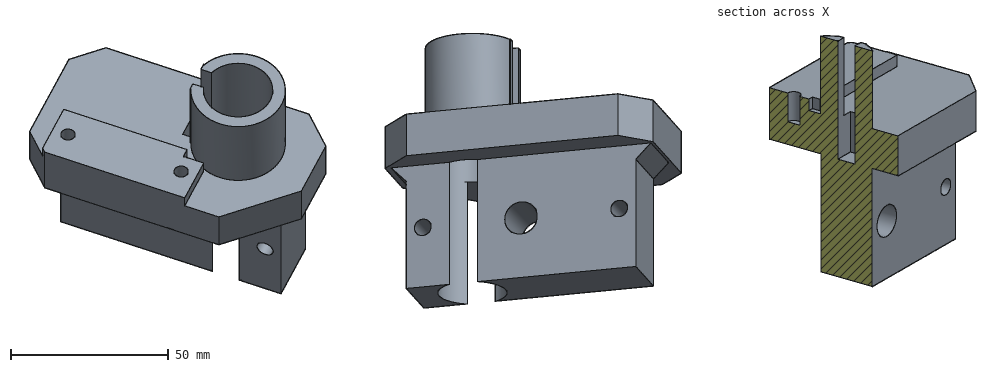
import cadquery as cq

plate_length = 89.0
plate_width = 50.0
plate_thickness = 14.0
left_corner_cut = 9.0
back_right_corner_cut = 10.0
front_right_corner_cut = 20.0

tongue_height = 41.0
tongue_start_x = 6.0
tongue_length = 76.0
tongue_thickness = 20.0
haunch_size = 5.0

cross_hole_z = 20.0
pin_hole_diameter = 5.5
pin_hole_spacing = 65.0
center_hole_diameter = 10.75

boss_x = 63.0
boss_y = 30.0
boss_height = 27.0
boss_diameter = 30.0
bore_diameter = 22.0

keyway_width = 6.5
keyway_reach = 17.75
lip_width = 11.0
lip_reach = 14.25

pad_start_x = 7.75
pad_length = 49.5
pad_width = 18.5
pad_height = 4.0
pad_notch_length = 7.0
pad_notch_width = 3.0
pad_hole_diameter = 4.5
pad_hole_spacing = 39.0
pad_hole_depth = 10.0
pad_hole_y = 9.5

plate_top = tongue_height + plate_thickness
pad_top = plate_top + pad_height
boss_top = plate_top + boss_height
tongue_end_x = tongue_start_x + tongue_length
tongue_center_x = tongue_start_x + tongue_length / 2
tongue_back_y = boss_y + tongue_thickness / 2


def block(x_min, x_max, y_min, y_max, z_min, z_max):
    """Axis-aligned box between two opposite corners."""
    size = (x_max - x_min, y_max - y_min, z_max - z_min)
    return cq.Workplane("XY").box(*size, centered=False).translate((x_min, y_min, z_min))


def vertical_cylinder(x, y, diameter, z_min, z_max):
    return cq.Workplane("XY", origin=(x, y, z_min)).circle(diameter / 2).extrude(z_max - z_min)


def plate_prism(z_min, z_max):
    """Plate outline with its four cut corners, between two levels."""
    outline = [
        (left_corner_cut, 0),
        (plate_length - front_right_corner_cut, 0),
        (plate_length, front_right_corner_cut),
        (plate_length, plate_width - back_right_corner_cut),
        (plate_length - back_right_corner_cut, plate_width),
        (left_corner_cut, plate_width),
        (0, plate_width - left_corner_cut),
        (0, left_corner_cut),
    ]
    return cq.Workplane("XY", origin=(0, 0, z_min)).polyline(outline).close().extrude(z_max - z_min)


def make_tongue():
    """Upright block flared by 45 degree haunches where it meets the plate."""
    haunch_z = tongue_height - haunch_size
    profile = [
        (tongue_start_x, 0),
        (tongue_end_x, 0),
        (tongue_end_x, haunch_z),
        (tongue_end_x + haunch_size, tongue_height),
        (tongue_start_x - haunch_size, tongue_height),
        (tongue_start_x, haunch_z),
    ]
    return (
        cq.Workplane("XZ", origin=(0, tongue_back_y, 0))
        .polyline(profile).close().extrude(tongue_thickness)
    )


def make_cross_hole(x, diameter):
    """Hole running along Y through the tongue."""
    return (
        cq.Workplane("XZ", origin=(x, tongue_back_y, cross_hole_z))
        .circle(diameter / 2).extrude(tongue_thickness)
    )


def make_pad():
    """Raised pad, notched beside the boss and trimmed to the plate outline."""
    pad_end_x = pad_start_x + pad_length
    pad = block(pad_start_x, pad_end_x, 0, pad_width, plate_top, pad_top)
    notch = block(
        pad_end_x - pad_notch_length, pad_end_x,
        pad_width - pad_notch_width, pad_width,
        plate_top, pad_top,
    )
    return pad.cut(notch).intersect(plate_prism(plate_top, pad_top))


def make_pad_hole(side):
    """Blind hole in the pad; side is -1 for the left hole and 1 for the right one."""
    x = pad_start_x + pad_length / 2 + side * pad_hole_spacing / 2
    return vertical_cylinder(x, pad_hole_y, pad_hole_diameter, pad_top - pad_hole_depth, pad_top)


def make_boss():
    """Cylinder with a flat-faced lip block on its left side."""
    flat_x = boss_x - lip_reach
    boss_radius = boss_diameter / 2
    cylinder = vertical_cylinder(boss_x, boss_y, boss_diameter, plate_top, boss_top)
    beyond_flat = block(
        boss_x - boss_radius, flat_x,
        boss_y - boss_radius, boss_y + boss_radius,
        plate_top, boss_top,
    )
    lips = block(
        flat_x, boss_x,
        boss_y - lip_width / 2, boss_y + lip_width / 2,
        plate_top, boss_top,
    )
    return cylinder.cut(beyond_flat).union(lips)


def make_keyway():
    """Slot through the boss wall and the plate, closed below by the tongue."""
    return block(
        boss_x - keyway_reach, boss_x,
        boss_y - keyway_width / 2, boss_y + keyway_width / 2,
        tongue_height, boss_top,
    )


result = plate_prism(tongue_height, plate_top).union(make_tongue()).union(make_pad()).union(make_boss())

result = result.cut(vertical_cylinder(boss_x, boss_y, bore_diameter, 0, boss_top))
result = result.cut(make_keyway())

result = result.cut(make_cross_hole(tongue_center_x, center_hole_diameter))
for side in (-1, 1):
    result = result.cut(make_cross_hole(tongue_center_x + side * pin_hole_spacing / 2, pin_hole_diameter))
    result = result.cut(make_pad_hole(side))